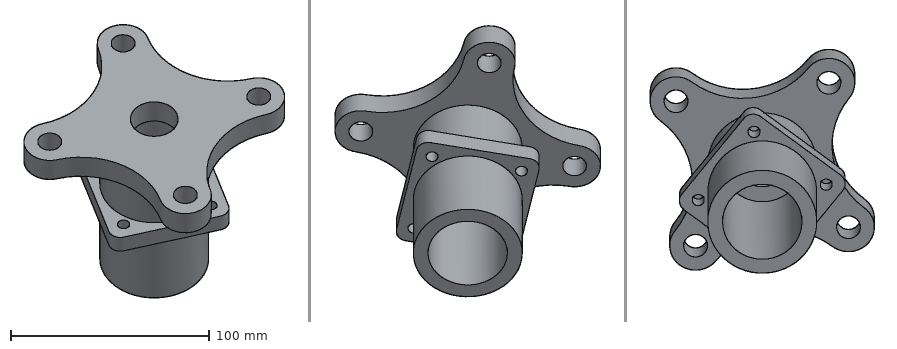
import cadquery as cq
import math

total_height = 102.0
span = 136.0

plate_thickness = 14.0
arm_hole_offset = 55.0
arm_radius = span / 2 - arm_hole_offset
arm_hole_diameter = 12.0
center_hole_diameter = 24.0

body_diameter = 55.0
bore_diameter = 40.0

flange_side = 63.0
flange_thickness = 10.0
flange_bottom = 45.0
flange_corner_radius = 6.0
flange_hole_diameter = 6.0
flange_hole_offset = 23.0

plate_bottom = total_height - plate_thickness


def rotated(point, quarter_turns):
    """Turn a point about the origin by a number of quarter turns."""
    angle = quarter_turns * math.pi / 2
    x, y = point
    return (
        x * math.cos(angle) - y * math.sin(angle),
        x * math.sin(angle) + y * math.cos(angle),
    )


def make_plate():
    """Round arm ends joined by concave arcs that run tangent into them."""
    arm_start = (arm_hole_offset, -arm_radius)
    arm_tip = (span / 2, 0)
    arm_end = (arm_hole_offset, arm_radius)
    waist_radius = arm_hole_offset - arm_radius
    waist_coordinate = arm_hole_offset - waist_radius * math.sqrt(0.5)
    waist_middle = (waist_coordinate, waist_coordinate)

    outline = cq.Workplane("XY").workplane(offset=plate_bottom).moveTo(*arm_start)
    for turn in range(4):
        outline = outline.threePointArc(rotated(arm_tip, turn), rotated(arm_end, turn))
        outline = outline.threePointArc(rotated(waist_middle, turn), rotated(arm_start, turn + 1))
    plate = outline.close().extrude(plate_thickness)
    return (
        plate.faces(">Z").workplane(origin=(0, 0, total_height))
        .polarArray(arm_hole_offset, 0, 360, 4)
        .hole(arm_hole_diameter)
    )


def make_flange():
    """Square flange with rounded corners and a hole in each corner."""
    flange = (
        cq.Workplane("XY").workplane(offset=flange_bottom)
        .rect(flange_side, flange_side)
        .extrude(flange_thickness)
        .edges("|Z").fillet(flange_corner_radius)
    )
    return (
        flange.faces(">Z").workplane()
        .rect(2 * flange_hole_offset, 2 * flange_hole_offset, forConstruction=True)
        .vertices()
        .hole(flange_hole_diameter)
    )


body = cq.Workplane("XY").circle(body_diameter / 2).extrude(plate_bottom)
center_hole = cq.Workplane("XY").circle(center_hole_diameter / 2).extrude(total_height)
bore = cq.Workplane("XY").circle(bore_diameter / 2).extrude(plate_bottom)

result = body.union(make_flange()).union(make_plate()).cut(center_hole).cut(bore)